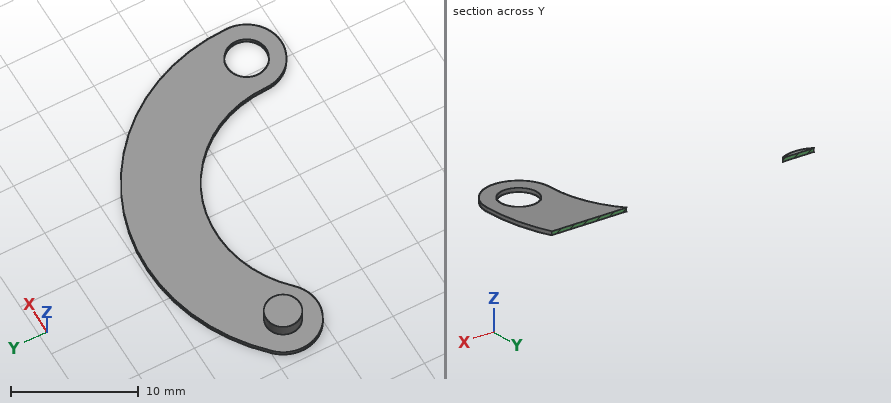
import cadquery as cq
import math

overall_length = 28.65
overall_height = 1.5
plate_thickness = 0.37
arc_radius = 13.13
arm_angle = 135.0
hole_diameter = 3.5
pin_diameter = 3.0

pin_direction = math.radians(arm_angle)
end_radius = (overall_length - arc_radius * (1 - math.cos(pin_direction))) / 2
outer_radius = arc_radius + end_radius
inner_radius = arc_radius - end_radius


def polar(radius, angle):
    """Point at an angle in radians about the arc centre."""
    return (radius * math.cos(angle), radius * math.sin(angle))


hole_center = (arc_radius, 0)
pin_center = polar(arc_radius, pin_direction)
pin_end_tip = (
    pin_center[0] - end_radius * math.sin(pin_direction),
    pin_center[1] + end_radius * math.cos(pin_direction),
)


def make_plate():
    """Curved arm of constant width with a half-round at each end."""
    return (
        cq.Workplane("XY")
        .moveTo(outer_radius, 0)
        .threePointArc(polar(outer_radius, pin_direction / 2), polar(outer_radius, pin_direction))
        .threePointArc(pin_end_tip, polar(inner_radius, pin_direction))
        .threePointArc(polar(inner_radius, pin_direction / 2), (inner_radius, 0))
        .threePointArc((arc_radius, -end_radius), (outer_radius, 0))
        .close()
        .extrude(plate_thickness)
    )


def make_round(center, diameter):
    """Upright cylinder from the underside of the plate to the top of the pin."""
    return cq.Workplane("XY").center(*center).circle(diameter / 2).extrude(overall_height)


pin = make_round(pin_center, pin_diameter)
hole = make_round(hole_center, hole_diameter)
result = make_plate().cut(hole).union(pin)